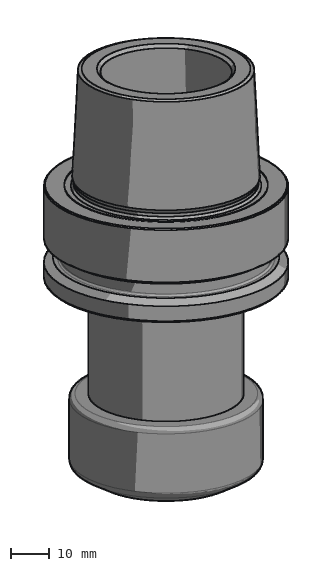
import cadquery as cq
import math

total_height = 112.0
flange_radius = 31.5
neck_radius = 20.0
collar_radius = 25.0

collar_height = 22.4
collar_top_fillet = 1.5
nose_radius = 19.0
nose_angle = math.radians(30)
nose_height = (collar_radius - nose_radius) * math.tan(nose_angle)
nose_fillet = 2.0

shank_length = 32.0
flange_thickness = 26.0
flange_top = total_height - shank_length
flange_bottom = flange_top - flange_thickness
flange_top_edge = 0.3
flange_bottom_edge = 0.6
neck_fillet = 3.0

groove_radius = 27.5
groove_middle = 62.0
groove_mouth_width = 6.6
groove_mouth_angle = math.radians(30)
groove_slot_width = 3.9
groove_mouth_height = (groove_mouth_width - groove_slot_width) / 2
groove_slot_radius = flange_radius - groove_mouth_height / math.tan(groove_mouth_angle)
groove_fillet = 0.6
groove_cut_clearance = 1.1

recess_radius = 26.2
recess_depth = 0.2

shank_top_radius = 22.7
taper_half_angle = math.atan(1 / 20)
taper_bottom = 82.3
shank_base_radius = shank_top_radius + (total_height - taper_bottom) * math.tan(taper_half_angle)
shank_end_chamfer_width = 1.0
shank_end_chamfer_height = 0.3
undercut_radius = 23.9
undercut_top = 81.3
undercut_root_chamfer = 0.7

bore_radius = 16.9
bore_depth = shank_length
bore_chamfer = 0.9


def cylinder(radius, bottom, top):
    return cq.Workplane("XY").workplane(offset=bottom).circle(radius).extrude(top - bottom)


def revolve_outline(points):
    """Turn an outline of (radius, height) points about the Z axis."""
    return cq.Workplane("XZ").polyline(points).close().revolve(360, (0, 0, 0), (0, 1, 0))


def make_collar():
    body = revolve_outline([
        (0, 0),
        (nose_radius, 0),
        (collar_radius, nose_height),
        (collar_radius, collar_height),
        (0, collar_height),
    ])
    body = body.faces(">Z").edges().fillet(collar_top_fillet)
    nose_edge = cq.selectors.BoxSelector(
        (-flange_radius, -flange_radius, nose_height / 2),
        (flange_radius, flange_radius, nose_height * 1.5),
        boundingbox=True,
    )
    return body.edges("%CIRCLE").edges(nose_edge).fillet(nose_fillet)


def make_neck():
    """Straight neck that flares into the flange through a quarter-round fillet."""
    flare_start = flange_bottom - neck_fillet
    flare_radius = neck_radius + neck_fillet
    middle = neck_fillet * (1 - math.sqrt(0.5))
    return (
        cq.Workplane("XZ")
        .moveTo(0, collar_height)
        .lineTo(neck_radius, collar_height)
        .lineTo(neck_radius, flare_start)
        .threePointArc((neck_radius + middle, flange_bottom - middle), (flare_radius, flange_bottom))
        .lineTo(0, flange_bottom)
        .close()
        .revolve(360, (0, 0, 0), (0, 1, 0))
    )


def make_flange():
    body = cylinder(flange_radius, flange_bottom, flange_top)
    body = body.faces(">Z").edges().chamfer(flange_top_edge)
    body = body.faces("<Z").edges().chamfer(flange_bottom_edge)
    clearance_radius = flange_radius + groove_cut_clearance
    mouth_bottom = groove_middle - groove_mouth_width / 2
    mouth_top = groove_middle + groove_mouth_width / 2
    slot_bottom = groove_middle - groove_slot_width / 2
    slot_top = groove_middle + groove_slot_width / 2
    groove_gap = revolve_outline([
        (0, slot_bottom),
        (groove_slot_radius, slot_bottom),
        (flange_radius, mouth_bottom),
        (clearance_radius, mouth_bottom),
        (clearance_radius, mouth_top),
        (flange_radius, mouth_top),
        (groove_slot_radius, slot_top),
        (0, slot_top),
    ])
    body = body.cut(groove_gap)
    floor = cylinder(groove_radius, slot_bottom, slot_top)
    body = body.union(floor)
    margin = groove_fillet / 5
    floor_corners = cq.selectors.BoxSelector(
        (-groove_radius - margin, -groove_radius - margin, slot_bottom - margin),
        (groove_radius + margin, groove_radius + margin, slot_top + margin),
        boundingbox=True,
    )
    body = body.edges("%CIRCLE").edges(floor_corners).fillet(groove_fillet)
    recess = cylinder(recess_radius, flange_top - recess_depth, flange_top)
    return body.cut(recess)


def make_shank():
    end_radius = shank_top_radius - shank_end_chamfer_width
    root = flange_top - recess_depth
    return revolve_outline([
        (0, root),
        (undercut_radius + undercut_root_chamfer, root),
        (undercut_radius, root + undercut_root_chamfer),
        (undercut_radius, undercut_top),
        (shank_base_radius, taper_bottom),
        (shank_top_radius, total_height - shank_end_chamfer_height),
        (end_radius, total_height),
        (0, total_height),
    ])


def make_bore():
    floor = total_height - bore_depth
    return revolve_outline([
        (0, floor),
        (bore_radius, floor),
        (bore_radius, total_height - bore_chamfer),
        (bore_radius + bore_chamfer, total_height),
        (0, total_height),
    ])


result = make_collar().union(make_neck()).union(make_flange()).union(make_shank()).cut(make_bore())